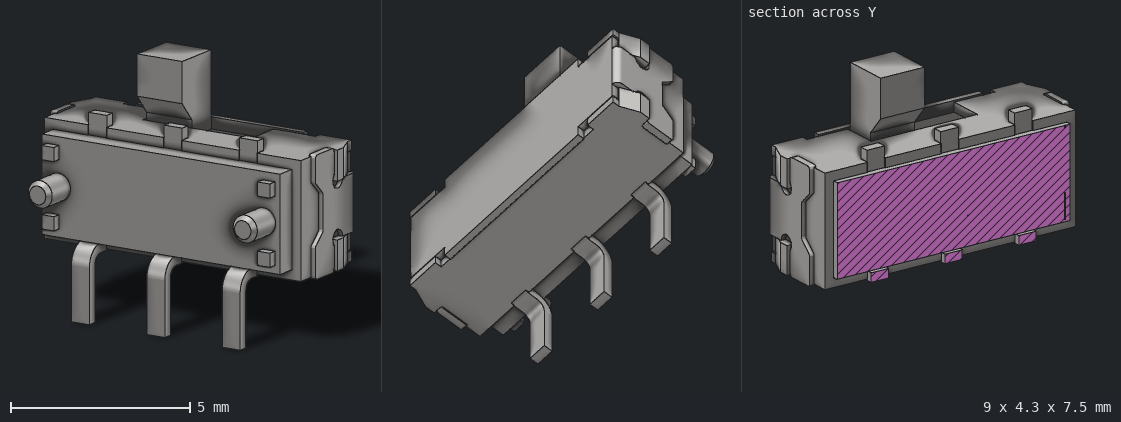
import cadquery as cq


TOTAL_WIDTH = 9.0
TOTAL_DEPTH = 4.3
TOP_Z = 3.75
BOTTOM_Z = -3.75

HOUSING_WIDTH = 8.5
HOUSING_HEIGHT = 3.5
HOUSING_FRONT = 2.63
BASE_WIDTH = 7.9
BASE_HEIGHT = 2.9
BASE_THICKNESS = 0.6
BASE_FRONT = HOUSING_FRONT + BASE_THICKNESS

SHEET = 0.22
ARM_BEND_RADIUS = 0.219
COVER_WIDTH = 8.8
COVER_HEIGHT = 3.6
BACK_PANEL_WIDTH = 5.58
SHOULDER_WIDTH = 8.42
SHOULDER_HEIGHT = 2.85
ARM_HEIGHT = 1.7
WING_REAR = 1.14
WING_FRONT = 2.11
WAIST_FRONT = 1.71
WAIST_TOP_OUTER_Z = 1.0
WAIST_TOP_INNER_Z = 0.61
WAIST_BOTTOM_INNER_Z = -0.48
WAIST_BOTTOM_OUTER_Z = -0.85
WING_CORNER_RADIUS = 0.1
RELIEF_RADIUS = 0.25
RELIEF_DEPTH = 0.96

LUG_INNER_X = 3.18
LUG_INNER_Z = 1.45
EAR_FULL_DEPTH = 0.81

KNOB_SIZE = 1.5
KNOB_CENTRE_X = -1.0
KNOB_REAR = 0.25
STEM_DEPTH = 1.0
KNOB_SLOPE_TOP_Z = 2.53
KNOB_SLOPE_BOTTOM_Z = 1.95
SLOT_WIDTH = 3.6
SLOT_FRONT = 1.36
SLOT_DEPTH = 0.3
SLOT_FLOOR_Z = HOUSING_HEIGHT / 2 - SLOT_DEPTH

TERMINAL_PITCH = 2.5
TERMINAL_CENTRES = (-TERMINAL_PITCH, 0, TERMINAL_PITCH)
TERMINAL_WIDTH = 0.6
TERMINAL_THICKNESS = 0.3
TERMINAL_REAR = 2.3
TERMINAL_TOP_Z = 2.1
LEG_FRONT = 3.5
LEG_UNDERSIDE_Z = -1.8
INNER_BEND_RADIUS = 0.1
LEG_BEND_RADIUS = 0.3

PEG_DIAMETER = 0.8
PEG_CHAMFER = 0.13
PEG_X = 3.4
STANDOFF_SIZE = 0.41
STANDOFF_FRONT = LEG_FRONT
STANDOFF_X = 3.58
STANDOFF_Z = 1.0

SIDES = (-1, 1)


def block(x_range, depth_range, z_range):
    """Box between two X values, two depths and two Z values, each in rising order."""
    x0, x1 = x_range
    d0, d1 = depth_range
    z0, z1 = z_range
    return cq.Workplane("XY").box(x1 - x0, d1 - d0, z1 - z0, centered=False).translate((x0, -d1, z0))


def centred_block(width, depth_range, height):
    """Box centred on X = 0 and Z = 0."""
    return block((-width / 2, width / 2), depth_range, (-height / 2, height / 2))


def mirrored_in_x(shape):
    """Shape together with its mirror image about X = 0."""
    return shape.union(shape.mirror("YZ"))


def mirrored_in_z(shape):
    """Shape together with its mirror image about Z = 0."""
    return shape.union(shape.mirror("XY"))


def extrude_side_profile(sketch, width, x_start):
    """Extrude a closed YZ profile along +X from x_start."""
    return sketch.extrude(width).translate((x_start, 0, 0))


def make_housing():
    """Main body with the travel slot, terminal grooves and the base plate in front."""
    body = centred_block(HOUSING_WIDTH, (SHEET, HOUSING_FRONT), HOUSING_HEIGHT)
    base = centred_block(BASE_WIDTH, (HOUSING_FRONT, BASE_FRONT), BASE_HEIGHT)
    slot = block(
        (-SLOT_WIDTH / 2, SLOT_WIDTH / 2), (SHEET, SLOT_FRONT), (SLOT_FLOOR_Z, HOUSING_HEIGHT / 2)
    )
    housing = body.cut(slot)
    for centre_x in TERMINAL_CENTRES:
        left = centre_x - TERMINAL_WIDTH / 2
        groove = block(
            (left, left + TERMINAL_WIDTH),
            (TERMINAL_REAR + TERMINAL_THICKNESS, HOUSING_FRONT),
            (BASE_HEIGHT / 2, HOUSING_HEIGHT / 2),
        )
        housing = housing.cut(groove)
    return housing.union(base)


def make_corner_lugs():
    """Rear corner lugs, flush with the rear face of the cover."""
    lug = block((LUG_INNER_X, HOUSING_WIDTH / 2), (0, SHEET), (LUG_INNER_Z, HOUSING_HEIGHT / 2))
    return mirrored_in_x(mirrored_in_z(lug))


def make_snap_ears():
    """Ramped ears that hold the arms of the cover."""
    root_x = HOUSING_WIDTH / 2
    tip_x = TOTAL_WIDTH / 2
    ear = (
        cq.Workplane("XY")
        .workplane(offset=ARM_HEIGHT / 2)
        .moveTo(root_x, -SHEET)
        .lineTo(tip_x, -EAR_FULL_DEPTH)
        .lineTo(tip_x, -WING_REAR)
        .lineTo(root_x, -WING_REAR)
        .close()
        .extrude(HOUSING_HEIGHT / 2 - ARM_HEIGHT / 2)
    )
    return mirrored_in_x(mirrored_in_z(ear))


def make_cover_side():
    """Right-hand side plate of the cover, with two wings and a narrow waist."""
    arm_z = ARM_HEIGHT / 2
    wing_z = COVER_HEIGHT / 2
    inner_x = COVER_WIDTH / 2 - SHEET
    outline = (
        cq.Workplane("YZ")
        .moveTo(-SHEET, arm_z)
        .lineTo(-WING_REAR, arm_z)
        .lineTo(-WING_REAR, wing_z)
        .lineTo(-WING_FRONT, wing_z)
        .lineTo(-WING_FRONT, WAIST_TOP_OUTER_Z)
        .lineTo(-WAIST_FRONT, WAIST_TOP_INNER_Z)
        .lineTo(-WAIST_FRONT, WAIST_BOTTOM_INNER_Z)
        .lineTo(-WING_FRONT, WAIST_BOTTOM_OUTER_Z)
        .lineTo(-WING_FRONT, -wing_z)
        .lineTo(-WING_REAR, -wing_z)
        .lineTo(-WING_REAR, -arm_z)
        .lineTo(-SHEET, -arm_z)
        .close()
    )
    plate = extrude_side_profile(outline, SHEET, inner_x)
    plate = plate.edges("|X").edges(">Z or <Z").fillet(WING_CORNER_RADIUS)
    waist_box = cq.selectors.BoxSelector(
        (inner_x - SHEET, -WING_FRONT - SHEET, WAIST_BOTTOM_OUTER_Z - SHEET),
        (inner_x + 2 * SHEET, -WAIST_FRONT + SHEET, WAIST_TOP_OUTER_Z + SHEET),
    )
    plate = plate.edges("|X").edges(waist_box).fillet(WING_CORNER_RADIUS)
    relief_centres = [(-RELIEF_DEPTH, side * arm_z) for side in SIDES]
    reliefs = cq.Workplane("YZ").pushPoints(relief_centres).circle(RELIEF_RADIUS)
    return plate.cut(extrude_side_profile(reliefs, SHEET, inner_x))


def make_cover():
    """Sheet cover: stepped rear panel, rounded arms and a plate on each side."""
    panel = centred_block(BACK_PANEL_WIDTH, (0, SHEET), COVER_HEIGHT)
    shoulders = centred_block(SHOULDER_WIDTH, (0, SHEET), SHOULDER_HEIGHT)
    arms = centred_block(COVER_WIDTH, (0, SHEET), ARM_HEIGHT)
    arms = arms.edges("|Z and >Y").fillet(ARM_BEND_RADIUS)
    return panel.union(shoulders).union(arms).union(mirrored_in_x(make_cover_side()))


def make_knob():
    """Actuator with a stem rising from the slot floor and a front underside slope."""
    rear_y = -KNOB_REAR
    stem_y = rear_y - STEM_DEPTH
    front_y = rear_y - KNOB_SIZE
    outline = (
        cq.Workplane("YZ")
        .moveTo(rear_y, SLOT_FLOOR_Z)
        .lineTo(rear_y, TOP_Z)
        .lineTo(front_y, TOP_Z)
        .lineTo(front_y, KNOB_SLOPE_TOP_Z)
        .lineTo(stem_y, KNOB_SLOPE_BOTTOM_Z)
        .lineTo(stem_y, SLOT_FLOOR_Z)
        .close()
    )
    return extrude_side_profile(outline, KNOB_SIZE, KNOB_CENTRE_X - KNOB_SIZE / 2)


def make_terminal(centre_x):
    """Strip that runs down the housing, turns forward and bends down into a leg."""
    half = TERMINAL_THICKNESS / 2
    strip_y = -TERMINAL_REAR - half
    leg_y = -LEG_FRONT + half
    run_z = LEG_UNDERSIDE_Z + half
    upper_radius = INNER_BEND_RADIUS + half
    lower_radius = LEG_BEND_RADIUS + half
    centreline = (
        cq.Workplane("YZ")
        .moveTo(strip_y, TERMINAL_TOP_Z)
        .lineTo(strip_y, run_z + upper_radius)
        .tangentArcPoint((strip_y - upper_radius, run_z), relative=False)
        .lineTo(leg_y + lower_radius, run_z)
        .tangentArcPoint((leg_y, run_z - lower_radius), relative=False)
        .lineTo(leg_y, BOTTOM_Z)
    )
    strip = (
        cq.Workplane("XY", origin=(0, strip_y, TERMINAL_TOP_Z))
        .rect(TERMINAL_WIDTH, TERMINAL_THICKNESS)
        .sweep(centreline)
    )
    return strip.translate((centre_x, 0, 0))


def make_peg(centre_x):
    """Locating peg with a chamfered tip."""
    return (
        cq.Workplane("XZ", origin=(centre_x, -BASE_FRONT, 0))
        .circle(PEG_DIAMETER / 2)
        .extrude(TOTAL_DEPTH - BASE_FRONT)
        .faces("<Y")
        .chamfer(PEG_CHAMFER)
    )


def make_standoffs():
    """Four square standoffs near the corners of the base plate."""
    standoff = centred_block(STANDOFF_SIZE, (BASE_FRONT, STANDOFF_FRONT), STANDOFF_SIZE)
    return mirrored_in_x(mirrored_in_z(standoff.translate((STANDOFF_X, 0, STANDOFF_Z))))


result = make_housing()
for feature in (make_corner_lugs(), make_cover(), make_snap_ears(), make_knob(), make_standoffs()):
    result = result.union(feature)
for terminal_x in TERMINAL_CENTRES:
    result = result.union(make_terminal(terminal_x))
for peg_side in SIDES:
    result = result.union(make_peg(peg_side * PEG_X))